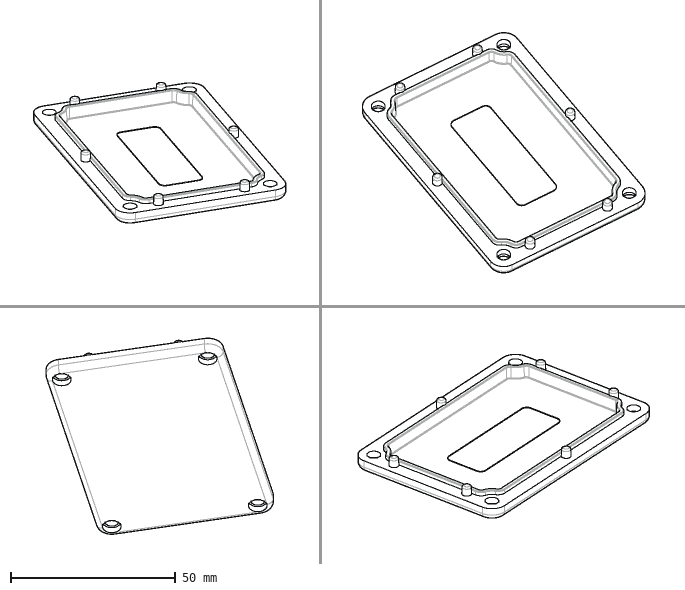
import cadquery as cq
import math

length = 80.0
width = 55.0
plate_thickness = 4.2
corner_radius = 4.8
bottom_radius = 1.9

hole_diameter = 4.2
counterbore_diameter = 5.6
counterbore_depth = 2.0
hole_x = length / 2 - corner_radius
hole_y = width / 2 - corner_radius

draft = 2.0

rim_inset = 4.6
rim_thickness = 1.4
rim_height = 1.4
rim_top_z = plate_thickness + rim_height
rim_edge_radius = 0.2
scallop_radius = 3.8
scallop_blend_radius = 2.7

floor_thickness = 1.4
cavity_depth = rim_top_z - floor_thickness
cavity_draft_width = cavity_depth * math.tan(math.radians(draft))
floor_edge_radius = 0.2
panel_length = 40.0
panel_width = 14.1
panel_corner_radius = 1.9
panel_depth = 0.2

pin_diameter = 3.0
pin_height = 2.9
pin_edge_radius = 0.6
side_pin_x = 36.5
side_pin_y = 14.0
end_pin_y = 24.0
pin_points = [(sx * side_pin_x, sy * side_pin_y) for sx in (-1, 1) for sy in (-1, 1)]
pin_points += [(0, -end_pin_y), (0, end_pin_y)]


def rounded_block(size_x, size_y, height, edge_radius, bottom_z):
    """Rectangular block with rounded vertical edges, standing on bottom_z."""
    base = cq.Workplane("XY", origin=(0, 0, bottom_z))
    return base.rect(size_x, size_y).extrude(height).edges("|Z").fillet(edge_radius)


def point_from(centre, radius, angle):
    """Point at a radius and angle from a centre."""
    return (centre[0] + radius * math.cos(angle), centre[1] + radius * math.sin(angle))


def scalloped_block(offset, height, taper, bottom_z):
    """Block with scalloped corners, set in by an offset from the foot of the rim.

    The walls lean inwards going up for a positive taper.

    Each corner is an arc around the screw hole, joined to the straight sides by tangent
    blend arcs. All arcs keep their centres whatever the offset.
    """
    scallop = scallop_radius + offset
    blend = scallop_blend_radius - offset
    half_x = length / 2 - rim_inset - offset
    half_y = width / 2 - rim_inset - offset

    reach = scallop + blend
    side_step = hole_x - (half_x - blend)
    end_step = hole_y - (half_y - blend)
    side_centre = (half_x - blend, hole_y - math.sqrt(reach**2 - side_step**2))
    end_centre = (hole_x - math.sqrt(reach**2 - end_step**2), half_y - blend)
    side_angle = math.atan2(hole_y - side_centre[1], hole_x - side_centre[0])
    end_angle = math.atan2(hole_y - end_centre[1], hole_x - end_centre[0])
    scallop_angle = (side_angle + end_angle) / 2 + math.pi
    corner = [
        point_from(side_centre, blend, 0),
        point_from(side_centre, blend, side_angle / 2),
        point_from(side_centre, blend, side_angle),
        point_from((hole_x, hole_y), scallop, scallop_angle),
        point_from(end_centre, blend, end_angle),
        point_from(end_centre, blend, (end_angle + math.pi / 2) / 2),
        point_from(end_centre, blend, math.pi / 2),
    ]

    outline = cq.Workplane("XY", origin=(0, 0, bottom_z))
    for index, (sx, sy) in enumerate([(1, 1), (-1, 1), (-1, -1), (1, -1)]):
        points = [(sx * x, sy * y) for x, y in corner]
        if sx != sy:
            points.reverse()
        if index == 0:
            outline = outline.moveTo(*points[0])
        else:
            outline = outline.lineTo(*points[0])
        for middle, end in zip(points[1::2], points[2::2]):
            outline = outline.threePointArc(middle, end)
    return outline.close().extrude(height, taper=taper)


plate = rounded_block(length, width, plate_thickness, corner_radius, 0)
plate = plate.faces("<Z").edges().fillet(bottom_radius)

rim = scalloped_block(0, rim_height, draft, plate_thickness)
cavity = scalloped_block(rim_thickness + cavity_draft_width, cavity_depth, -draft, floor_thickness)
cavity = cavity.faces("<Z").edges().fillet(floor_edge_radius)
tray = plate.union(rim).cut(cavity)
tray = tray.faces(">Z").edges().fillet(rim_edge_radius)

panel_z = floor_thickness - panel_depth
panel = rounded_block(panel_length, panel_width, panel_depth, panel_corner_radius, panel_z)
tray = tray.cut(panel)

pins = cq.Workplane("XY", origin=(0, 0, plate_thickness)).pushPoints(pin_points)
pins = pins.circle(pin_diameter / 2).extrude(pin_height, taper=draft)
pins = pins.faces(">Z").edges().fillet(pin_edge_radius)

hole_spots = cq.Workplane("XY").rect(2 * hole_x, 2 * hole_y, forConstruction=True).vertices()
holes = hole_spots.circle(hole_diameter / 2).extrude(plate_thickness)
counterbores = hole_spots.circle(counterbore_diameter / 2).extrude(counterbore_depth)

result = tray.union(pins).cut(holes).cut(counterbores)